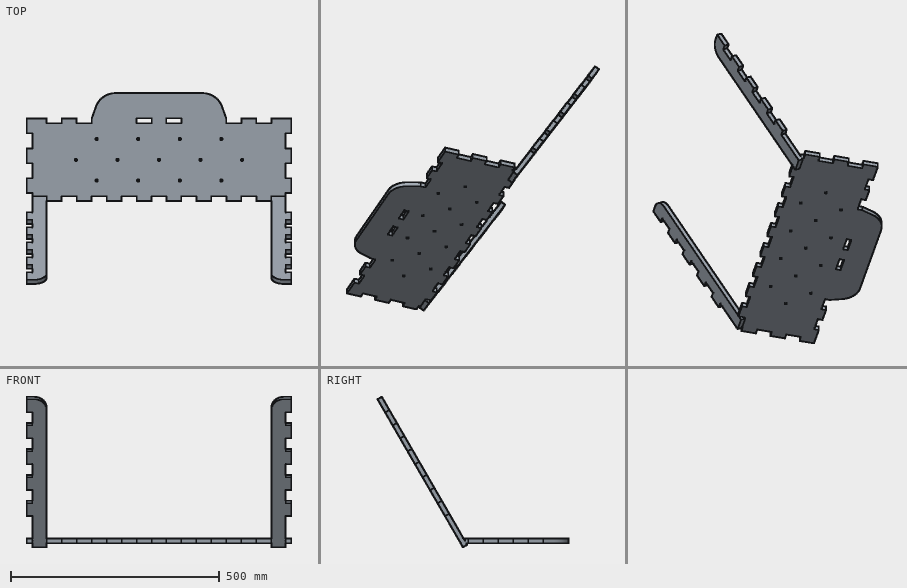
import cadquery as cq
import math

thickness = 12.0
overall_width = 636.0
side_finger_depth = 14.0
edge_finger_depth = 11.5
arm_web = 34.5

half_width = overall_width / 2
core_half_width = half_width - side_finger_depth
arm_inner_x = core_half_width - arm_web
edge_pitch_count = 15
pitch = 2 * arm_inner_x / edge_pitch_count

base_depth = 199.0
back_y = base_depth / 2
front_y = -back_y
notch_back_y = back_y - edge_finger_depth
notch_front_y = front_y + edge_finger_depth
side_finger_count = 3
back_finger_x = 6 * pitch

tab_height = 61.0
tab_half_width = 4.5 * pitch
slot_x = pitch
tab_top_half_width = 140.0
tab_corner_radius = 50.0

hole_diameter = 5.0
hole_spacing = 100.0
hole_row_spacing = hole_spacing / 2

arm_angle = 60.0
arm_length = 411.0
arm_corner_radius = 30.5
arm_finger_start = 86.5
arm_finger_count = 5
arm_foot_y = -82.5
arm_drop = 9.5


def block(x_min, x_max, y_min, y_max):
    """Sheet-thick rectangular block with its lower face at Z = 0."""
    return (
        cq.Workplane("XY")
        .box(x_max - x_min, y_max - y_min, thickness, centered=False)
        .translate((x_min, y_min, 0))
    )


def both_sides(solid):
    """The solid joined to its mirror image in the YZ plane."""
    return solid.union(solid.mirror("YZ"))


def back_tab():
    top_y = back_y + tab_height
    return (
        cq.Workplane("XY")
        .moveTo(-tab_half_width, notch_back_y)
        .lineTo(tab_half_width, notch_back_y)
        .lineTo(tab_half_width, back_y)
        .lineTo(tab_top_half_width, top_y)
        .lineTo(-tab_top_half_width, top_y)
        .lineTo(-tab_half_width, back_y)
        .close()
        .extrude(thickness)
        .edges("|Z and >Y")
        .fillet(tab_corner_radius)
    )


def base_plate():
    plate = block(-core_half_width, core_half_width, notch_front_y, notch_back_y)
    plate = plate.union(back_tab())

    back_finger = block(back_finger_x - pitch / 2, back_finger_x + pitch / 2, notch_back_y, back_y)
    back_corner = block(arm_inner_x, half_width, notch_back_y, back_y)
    plate = plate.union(both_sides(back_finger)).union(both_sides(back_corner))

    for index in range(0, edge_pitch_count, 2):
        x_min = -arm_inner_x + index * pitch
        plate = plate.union(block(x_min, x_min + pitch, front_y, notch_front_y))

    for index in range(side_finger_count):
        y_max = back_y - 2 * index * pitch
        finger = block(core_half_width, half_width, y_max - pitch, y_max)
        plate = plate.union(both_sides(finger))

    slot = block(slot_x - pitch / 2, slot_x + pitch / 2, notch_back_y, back_y)
    plate = plate.cut(both_sides(slot))

    hole_points = [(column * hole_spacing, 0) for column in range(-2, 3)]
    for row_y in (-hole_row_spacing, hole_row_spacing):
        hole_points += [((column + 0.5) * hole_spacing, row_y) for column in range(-2, 2)]
    holes = cq.Workplane("XY").pushPoints(hole_points).circle(hole_diameter / 2).extrude(thickness)
    return plate.cut(holes)


def right_arm():
    arm = block(arm_inner_x, core_half_width, -arm_length, 0)
    for index in range(arm_finger_count):
        finger_start = arm_finger_start + 2 * index * pitch
        is_last = index == arm_finger_count - 1
        finger_end = arm_length if is_last else finger_start + pitch
        arm = arm.union(block(core_half_width, half_width, -finger_end, -finger_start))
    arm = arm.edges("|Z and <X and <Y").fillet(arm_corner_radius)

    arm = arm.translate((0, 0, -thickness))
    arm = arm.rotate((0, 0, 0), (1, 0, 0), -arm_angle)
    foot_z = thickness * math.cos(math.radians(arm_angle)) - arm_drop
    return arm.translate((0, arm_foot_y, foot_z))


result = base_plate().union(both_sides(right_arm()))